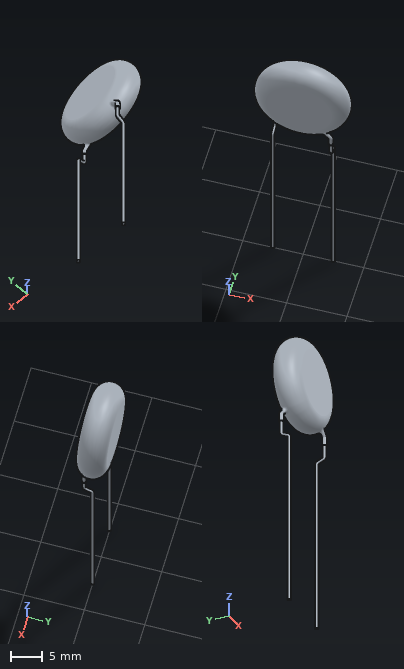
import cadquery as cq
import math

disc_radius = 8.0
disc_thickness = 5.0
rim_radius = disc_thickness / 2
face_radius = disc_radius - rim_radius

lead_x = 5.0
lead_offset_y = 1.4
wire_diameter = 0.6
coating_diameter = 0.8

shoulder_z = -7.25
coating_end_z = -8.8
crank_top_z = -11.05
crank_bottom_z = -11.65
right_tip_z = disc_radius - 50.0
left_tip_z = right_tip_z + 0.15

shoulder_bend_radius = 0.6
crank_bend_radius = 0.45
shoulder_run = 2.5
shoulder_angle = math.radians(45)
root_fillet = 0.45


def bent_rod(points, bend_radius, diameter):
    """Sweep a round rod along straight runs joined by rounded bends."""
    points = [cq.Vector(*point) for point in points]
    edges = []
    run_start = points[0]
    for before, corner, after in zip(points, points[1:], points[2:]):
        inward = (corner - before).normalized()
        outward = (after - corner).normalized()
        setback = bend_radius * math.tan(inward.getAngle(outward) / 2)
        arc_start = corner - inward * setback
        arc_end = corner + outward * setback
        edges.append(cq.Edge.makeLine(run_start, arc_start))
        edges.append(cq.Edge.makeTangentArc(arc_start, inward, arc_end))
        run_start = arc_end
    edges.append(cq.Edge.makeLine(run_start, points[-1]))
    path = cq.Workplane(cq.Wire.assembleEdges(edges))
    profile_plane = cq.Plane(origin=points[0], normal=points[1] - points[0])
    return cq.Workplane(profile_plane).circle(diameter / 2).sweep(path)


def make_disc():
    """Revolve half of the rounded section about the Y axis."""
    return (
        cq.Workplane("YZ")
        .moveTo(-rim_radius, 0)
        .lineTo(-rim_radius, face_radius)
        .threePointArc((0, disc_radius), (rim_radius, face_radius))
        .lineTo(rim_radius, 0)
        .close()
        .revolve(360, (0, 0, 0), (1, 0, 0))
    )


def make_coating():
    """Coated end of the +X lead, leaning from the disc and turning straight down."""
    x = lead_x
    y = -lead_offset_y
    root_x = x - shoulder_run
    root_z = shoulder_z + shoulder_run * math.tan(shoulder_angle)
    path_points = [(root_x, y, root_z), (x, y, shoulder_z), (x, y, coating_end_z)]
    return bent_rod(path_points, shoulder_bend_radius, coating_diameter)


def make_wire(side, tip_z):
    """Bare wire, cranked back to the middle plane of the disc."""
    x = side * lead_x
    y = -side * lead_offset_y
    path_points = [
        (x, y, coating_end_z),
        (x, y, crank_top_z),
        (x, 0, crank_bottom_z),
        (x, 0, tip_z),
    ]
    return bent_rod(path_points, crank_bend_radius, wire_diameter)


right_coating = make_coating()
left_coating = right_coating.rotate((0, 0, 0), (0, 0, 1), 180)
body = make_disc().union(right_coating, clean=False).union(left_coating, clean=False)

result = body.edges("%BSPLINE").fillet(root_fillet)

for side, tip_z in ((-1, left_tip_z), (1, right_tip_z)):
    result = result.union(make_wire(side, tip_z), clean=False)